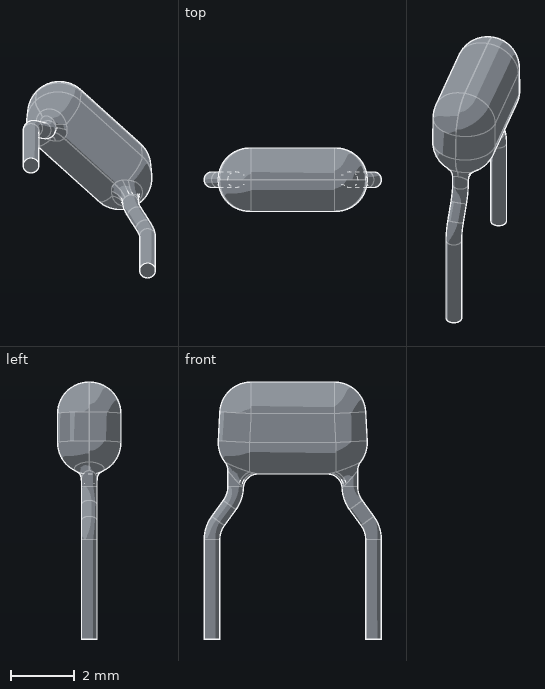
import cadquery as cq
import math

total_height = 8.1
lead_pitch = 5.08

body_height = 2.9
body_thickness = 2.0
body_top_width = 4.5
side_draft = 3.0
body_round = 0.995

wire_diameter = 0.5
foot_length = 3.14
bend_radius = 1.0
bend_angle = 36.0
neck_pitch = 3.59
body_embed = 1.0
neck_fillet = 0.45

body_bottom = total_height - body_height


def make_body():
    """Tapered block with every edge rounded to almost half its thickness."""
    half_top = body_top_width / 2
    half_bottom = half_top + body_height * math.tan(math.radians(side_draft))
    outline = [
        (-half_bottom, body_bottom),
        (half_bottom, body_bottom),
        (half_top, total_height),
        (-half_top, total_height),
    ]
    block = cq.Workplane("XZ").polyline(outline).close().extrude(body_thickness / 2, both=True)
    return block.edges().fillet(body_round)


def make_lead(side):
    """Round wire with an S-bend; side is -1 for the left lead, +1 for the right."""
    angle = math.radians(bend_angle)
    bend_shift = bend_radius * (1 - math.cos(angle))
    bend_rise = bend_radius * math.sin(angle)
    foot_x = lead_pitch / 2
    neck_x = neck_pitch / 2
    lower_bend_x = foot_x - bend_shift
    upper_bend_x = neck_x + bend_shift
    lower_bend_z = foot_length + bend_rise
    upper_bend_z = lower_bend_z + (lower_bend_x - upper_bend_x) / math.tan(angle)
    neck_z = upper_bend_z + bend_rise
    path = (
        cq.Workplane("XZ")
        .moveTo(side * foot_x, 0)
        .lineTo(side * foot_x, foot_length)
        .tangentArcPoint((side * lower_bend_x, lower_bend_z), relative=False)
        .lineTo(side * upper_bend_x, upper_bend_z)
        .tangentArcPoint((side * neck_x, neck_z), relative=False)
        .lineTo(side * neck_x, body_bottom + body_embed)
    )
    wire_section = cq.Workplane("XY").center(side * foot_x, 0).circle(wire_diameter / 2)
    return wire_section.sweep(path)


def flare_necks(part):
    """Blend each wire into the body; the curves where they meet are the only spline edges."""
    return part.edges("%BSPLINE").fillet(neck_fillet)


body_with_leads = make_body()
for lead_side in (-1, 1):
    body_with_leads = body_with_leads.union(make_lead(lead_side))

result = flare_necks(body_with_leads)